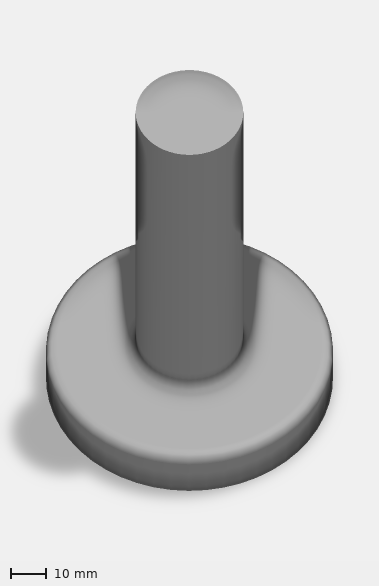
import cadquery as cq

flange_diameter = 80.0
flange_thickness = 15.0
stem_diameter = 30.0
total_height = 120.0
fillet_radius = 3.0

flange_radius = flange_diameter / 2
stem_radius = stem_diameter / 2


def make_half_profile():
    """Half section of the part in the XZ plane, with the Z axis as its inner side."""
    return (
        cq.Workplane("XZ")
        .lineTo(flange_radius, 0)
        .lineTo(flange_radius, flange_thickness - fillet_radius)
        .radiusArc((flange_radius - fillet_radius, flange_thickness), -fillet_radius)
        .lineTo(stem_radius + fillet_radius, flange_thickness)
        .radiusArc((stem_radius, flange_thickness + fillet_radius), fillet_radius)
        .lineTo(stem_radius, total_height)
        .lineTo(0, total_height)
        .close()
    )


def make_part():
    """Revolve the half section a full turn about the Z axis."""
    axis_start = (0, 0)
    axis_end = (0, 1)
    return make_half_profile().revolve(360, axis_start, axis_end)


result = make_part()